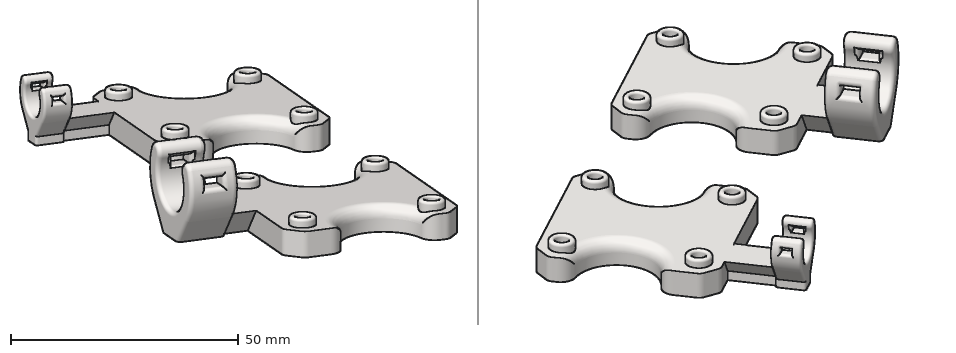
import cadquery as cq
import math

plate_size = 42.0
half_plate = plate_size / 2
plate_height = 6.0
plate_pitch = 70.0
corner_chamfer = 3.7
corner_round = 2.0

notch_radius = 9.9
notch_centre_inset = 1.3
notch_centre_y = 2.1
notch_top_round = 2.9
notch_corner_round = 3.5

boss_spacing = 31.0
boss_diameter = 6.0
boss_crown_diameter = 4.7
boss_height = 2.0
boss_hole_diameter = 3.2
boss_outer_round = (boss_diameter - boss_crown_diameter) / 2
boss_inner_round = 0.6

bore_radius = 7.0
clip_outer_radius = 11.5
clip_length = 11.6
tip_angle = 26.0
flank_slope = 52.0
stem_half_width = 3.9
front_round = 1.0
rear_round = 1.3
window_length = 4.4
window_height = 2.1
window_rise = 1.8
window_round = 1.0
foot_depth = 5.6
small_clip_scale = 0.6

small_clip_x = -9.7
small_clip_overhang = 17.9
large_clip_x = -4.8
large_clip_overhang = 17.6


def corner_points(spacing):
    """Four corners of a centred square."""
    half = spacing / 2
    return [(x, y) for x in (-half, half) for y in (-half, half)]


def notched_block():
    """Sharp square block with the two round notches cut from its sides."""
    centre_x = half_plate - notch_centre_inset
    notches = (
        cq.Workplane("XY")
        .pushPoints([(-centre_x, notch_centre_y), (centre_x, notch_centre_y)])
        .circle(notch_radius)
        .extrude(plate_height)
    )
    return cq.Workplane("XY").rect(plate_size, plate_size).extrude(plate_height).cut(notches)


def plate():
    """Base plate: all vertical edges eased, upper notch edges rounded."""
    block = notched_block()

    rounded_notches = block.faces(">Z").edges("%CIRCLE").fillet(notch_top_round)

    rise = math.sqrt(notch_radius**2 - notch_centre_inset**2)
    mid_height = plate_height / 2
    for x in (-half_plate, half_plate):
        for y in (notch_centre_y - rise, notch_centre_y + rise):
            edge = cq.selectors.NearestToPointSelector((x, y, mid_height))
            block = block.edges(edge).fillet(notch_corner_round)

    chamfered_square = (
        cq.Workplane("XY")
        .rect(plate_size, plate_size)
        .extrude(plate_height)
        .edges("|Z")
        .chamfer(corner_chamfer)
        .edges("|Z")
        .fillet(corner_round)
    )
    return chamfered_square.intersect(block).intersect(rounded_notches)


def bosses():
    """Four cylinders with a rounded rim, reaching from the plate underside to above its top."""
    return (
        cq.Workplane("XY")
        .pushPoints(corner_points(boss_spacing))
        .circle(boss_diameter / 2)
        .extrude(plate_height + boss_height)
        .faces(">Z")
        .edges()
        .fillet(boss_outer_round)
    )


def boss_holes():
    """Four through holes that flare out at the boss crown along a quarter round."""
    hole_radius = boss_hole_diameter / 2
    top = plate_height + boss_height
    flare_radius = hole_radius + boss_inner_round
    mid = boss_inner_round * math.sin(math.radians(45))
    hole = (
        cq.Workplane("XZ")
        .moveTo(0, 0)
        .lineTo(hole_radius, 0)
        .lineTo(hole_radius, top - boss_inner_round)
        .threePointArc((flare_radius - mid, top - boss_inner_round + mid), (flare_radius, top))
        .lineTo(0, top)
        .close()
        .revolve(360, (0, 0, 0), (0, 1, 0))
    )
    return cq.Workplane("XY").pushPoints(corner_points(boss_spacing)).eachpoint(hole.val())


def flank_ends(scale, bore_z, inset):
    """Upper and lower end (x, z) of the right V flank, which is tangent to the clip's outer circle."""
    outer = clip_outer_radius * scale - inset
    stem = stem_half_width * scale - inset
    slope = math.radians(flank_slope)
    top_x = outer * math.sin(slope)
    top_z = bore_z - outer * math.cos(slope)
    bottom_z = top_z - (top_x - stem) * math.tan(slope)
    return (top_x, top_z), (stem, bottom_z)


def mirrored(point):
    """The same XZ point on the other side of the clip axis."""
    return -point[0], point[1]


def clip_outline(scale, bore_z):
    """C-shaped clip with rounded tips on a V and a stem, in the XZ plane."""
    bore = bore_radius * scale
    outer = clip_outer_radius * scale
    tip = math.radians(tip_angle)
    tip_radius = (outer - bore) / 2
    flank_top, flank_bottom = flank_ends(scale, bore_z, 0)
    stem_foot = (flank_bottom[0], -foot_depth)

    def on_circle(radius):
        return radius * math.cos(tip), bore_z + radius * math.sin(tip)

    tip_outer = on_circle(outer)
    tip_inner = on_circle(bore)
    tip_x, tip_z = on_circle((bore + outer) / 2)
    tip_end = (tip_x - tip_radius * math.sin(tip), tip_z + tip_radius * math.cos(tip))
    outer_side = (outer, bore_z)
    bore_bottom = (0, bore_z - bore)

    return (
        cq.Workplane("XZ")
        .moveTo(*mirrored(stem_foot))
        .lineTo(*stem_foot)
        .lineTo(*flank_bottom)
        .lineTo(*flank_top)
        .threePointArc(outer_side, tip_outer)
        .threePointArc(tip_end, tip_inner)
        .threePointArc(bore_bottom, mirrored(tip_inner))
        .threePointArc(mirrored(tip_end), mirrored(tip_outer))
        .threePointArc(mirrored(outer_side), mirrored(flank_top))
        .lineTo(*mirrored(flank_bottom))
        .close()
    )


def window_section(plane, scale, half_width):
    """Section of the window cutter along X: narrow through the walls, flared by a round at the bore."""
    flare = window_round * scale
    end_x = clip_outer_radius * scale
    bore_x = math.sqrt(bore_radius**2 - window_rise**2) * scale
    wide = half_width + flare
    mid = flare * math.sin(math.radians(45))
    mid_x = bore_x + flare - mid
    mid_width = wide - mid
    return (
        cq.Workplane(plane)
        .moveTo(end_x, half_width)
        .lineTo(bore_x + flare, half_width)
        .threePointArc((mid_x, mid_width), (bore_x, wide))
        .lineTo(-bore_x, wide)
        .threePointArc((-mid_x, mid_width), (-bore_x - flare, half_width))
        .lineTo(-end_x, half_width)
        .lineTo(-end_x, -half_width)
        .lineTo(-bore_x - flare, -half_width)
        .threePointArc((-mid_x, -mid_width), (-bore_x, -wide))
        .lineTo(bore_x, -wide)
        .threePointArc((mid_x, -mid_width), (bore_x + flare, -half_width))
        .lineTo(end_x, -half_width)
        .close()
        .extrude(clip_length, both=True)
    )


def cut_window(ring, scale, centre_y, centre_z):
    """Cut the rectangular tie window through both arms and round its outer mouths."""
    half_length = window_length * scale / 2
    half_height = window_height * scale / 2
    in_plan = window_section("XY", scale, half_length)
    in_elevation = window_section("XZ", scale, half_height)
    cutter = in_plan.intersect(in_elevation).translate((0, centre_y, centre_z))
    ring = ring.cut(cutter)

    mid_wall = (bore_radius + clip_outer_radius) * scale / 2
    margin = 0.06
    for near_x, far_x in ((mid_wall, clip_outer_radius), (-clip_outer_radius, -mid_wall)):
        mouth = cq.selectors.BoxSelector(
            (near_x, centre_y - half_length - margin, centre_z - half_height - margin),
            (far_x, centre_y + half_length + margin, centre_z + half_height + margin),
        )
        ring = ring.edges(mouth).edges("not |X").fillet(window_round * scale)
    return ring


def clip(scale, bore_z):
    """Clip with rounded rims and tie windows; its front face lies at y = 0."""
    length = clip_length * scale
    ring = (
        clip_outline(scale, bore_z)
        .extrude(-length)
        .faces("<Y")
        .edges()
        .fillet(front_round * scale)
        .faces(">Y")
        .edges()
        .fillet(rear_round * scale)
    )
    return cut_window(ring, scale, length / 2, bore_z + window_rise * scale)


def arm(scale, bore_z, overhang):
    """Flat-topped bar on the clip's V and stem; runs from the rear rim of the clip to the plate."""
    inset = rear_round * scale
    flank_top, flank_bottom = flank_ends(scale, bore_z, inset)
    top_x = flank_top[0] + (plate_height - flank_top[1]) / math.tan(math.radians(flank_slope))
    top_corner = (top_x, plate_height)
    stem_foot = (flank_bottom[0], -foot_depth)
    start_y = clip_length * scale - inset
    return (
        cq.Workplane("XZ")
        .moveTo(*mirrored(stem_foot))
        .lineTo(*stem_foot)
        .lineTo(*flank_bottom)
        .lineTo(*top_corner)
        .lineTo(*mirrored(top_corner))
        .lineTo(*mirrored(flank_bottom))
        .close()
        .extrude(start_y - overhang)
        .translate((0, start_y, 0))
    )


def holder(scale, clip_x, overhang):
    """One solid: plate, bosses, arm and clip, with the plate centred on the Z axis."""
    bore_z = plate_height + bore_radius * scale
    below_ground = cq.Workplane("XY").rect(plate_size, 2 * plate_size).extrude(-2 * foot_depth)
    clip_on_arm = clip(scale, bore_z).union(arm(scale, bore_z, overhang)).cut(below_ground)
    clip_place = (clip_x, -half_plate - overhang, 0)
    return plate().union(bosses()).cut(boss_holes()).union(clip_on_arm.translate(clip_place))


small_holder = holder(small_clip_scale, small_clip_x, small_clip_overhang)
large_holder = holder(1, large_clip_x, large_clip_overhang)
small_holder = small_holder.translate((-plate_pitch / 2, 0, 0))
large_holder = large_holder.translate((plate_pitch / 2, 0, 0))

result = cq.Compound.makeCompound([small_holder.val(), large_holder.val()])